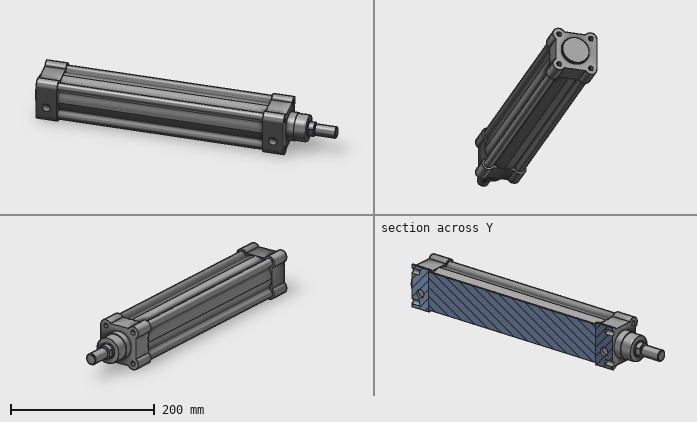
import cadquery as cq
import math


TOTAL_LENGTH = 429.0
REAR_BOSS_LENGTH = 4.5
CAP_LENGTH = 30.0
BARREL_LENGTH = 296.0
FRONT_COLLAR_LENGTH = 11.0
FRONT_NOSE_LENGTH = 16.7
WIPER_LENGTH = 1.5

REAR_CAP_START = REAR_BOSS_LENGTH
BARREL_START = REAR_CAP_START + CAP_LENGTH
FRONT_CAP_START = BARREL_START + BARREL_LENGTH
FRONT_CAP_END = FRONT_CAP_START + CAP_LENGTH
COLLAR_END = FRONT_CAP_END + FRONT_COLLAR_LENGTH
NOSE_END = COLLAR_END + FRONT_NOSE_LENGTH
WIPER_END = NOSE_END + WIPER_LENGTH

CAP_SIZE = 64.5
SCREW_OFFSET = 23.0
LOBE_RADIUS = CAP_SIZE / 2 - SCREW_OFFSET
CAP_RECESS = 4.5
SCREW_DIAMETER = 7.0
SCREW_DEPTH = 13.0

PORT_DIAMETER = 12.0
PORT_DEPTH = 13.0
PORT_Z = -8.0

BOSS_DIAMETER = 40.0
REAR_TAPER_LENGTH = 1.7
REAR_TAPER_DEPTH = 1.0
NOSE_DIAMETER = 38.0
NOSE_TAPER_LENGTH = 2.5
NOSE_TAPER_DEPTH = 0.5
WIPER_BASE_DIAMETER = 23.0

BARREL_RADIUS = 27.5
BARREL_LOBE_RADIUS = 6.0
LOBE_BLEND_RADIUS = 2.0
RIDGE_HALF_WIDTH = 5.5

ROD_DIAMETER = 20.0
FLAT_START_GAP = 1.0
WRENCH_FLATS = 17.5
THREAD_DIAMETER = 16.5
THREAD_LENGTH = 31.8
RELIEF_LENGTH = 1.0
THREAD_CHAMFER_LENGTH = 1.5
THREAD_CHAMFER_DEPTH = 1.5

THREAD_START = TOTAL_LENGTH - THREAD_LENGTH

CORNERS = [(y * SCREW_OFFSET, z * SCREW_OFFSET) for y in (-1, 1) for z in (-1, 1)]


def section_at(x):
    """Workplane across the axis at the given X, with local axes Y and Z."""
    return cq.Workplane("YZ", origin=(x, 0, 0))


def turned(profile):
    """Solid of revolution about the X axis below a profile of (x, radius) points."""
    outline = [(profile[0][0], 0), *profile, (profile[-1][0], 0)]
    return cq.Workplane("XY").polyline(outline).close().revolve(360, (0, 0, 0), (1, 0, 0))


def cap_block(start_x):
    """Square cap with round corner lobes, a full-width -Y face and a blind port."""
    core_size = CAP_SIZE - 2 * CAP_RECESS
    block = section_at(start_x).rect(core_size, core_size).extrude(CAP_LENGTH)
    lobes = section_at(start_x).pushPoints(CORNERS).circle(LOBE_RADIUS).extrude(CAP_LENGTH)
    port_face = (
        section_at(start_x)
        .center(-CAP_SIZE / 4, 0)
        .rect(CAP_SIZE / 2, 2 * SCREW_OFFSET)
        .extrude(CAP_LENGTH)
    )
    port = (
        cq.Workplane("XZ", origin=(start_x + CAP_LENGTH / 2, -CAP_SIZE / 2, PORT_Z))
        .circle(PORT_DIAMETER / 2)
        .extrude(-PORT_DEPTH)
    )
    return block.union(lobes).union(port_face).cut(port)


def screw_holes(face_x, direction):
    """Four blind holes that run from a cap's outer face in the given X direction."""
    return (
        section_at(face_x)
        .pushPoints(CORNERS)
        .circle(SCREW_DIAMETER / 2)
        .extrude(direction * SCREW_DEPTH)
    )


def make_rear_cap():
    boss_radius = BOSS_DIAMETER / 2
    boss = turned([
        (0, boss_radius - REAR_TAPER_DEPTH),
        (REAR_TAPER_LENGTH, boss_radius),
        (REAR_CAP_START, boss_radius),
    ])
    return cap_block(REAR_CAP_START).union(boss).cut(screw_holes(REAR_CAP_START, 1))


def make_front_cap():
    """Cap with a stepped nose that ends in a small conical wiper around the rod."""
    boss_radius = BOSS_DIAMETER / 2
    nose_radius = NOSE_DIAMETER / 2
    nose = turned([
        (FRONT_CAP_END, boss_radius),
        (COLLAR_END, boss_radius),
        (COLLAR_END, nose_radius),
        (NOSE_END - NOSE_TAPER_LENGTH, nose_radius),
        (NOSE_END, nose_radius - NOSE_TAPER_DEPTH),
        (NOSE_END, WIPER_BASE_DIAMETER / 2),
        (WIPER_END, ROD_DIAMETER / 2),
    ])
    return cap_block(FRONT_CAP_START).union(nose).cut(screw_holes(FRONT_CAP_END, -1))


def make_barrel():
    """Round barrel with a shallow ridge on each side and a webbed lobe at each corner."""
    barrel = section_at(BARREL_START).circle(BARREL_RADIUS).extrude(BARREL_LENGTH)

    lobe_distance = SCREW_OFFSET * math.sqrt(2)
    for angle in (45, 135):
        web = (
            section_at(BARREL_START)
            .transformed(rotate=(0, 0, angle))
            .slot2D(2 * (lobe_distance + BARREL_LOBE_RADIUS), 2 * BARREL_LOBE_RADIUS)
            .extrude(BARREL_LENGTH)
        )
        barrel = barrel.union(web)

    web_along = math.sqrt(BARREL_RADIUS**2 - BARREL_LOBE_RADIUS**2)
    near = (web_along - BARREL_LOBE_RADIUS) / math.sqrt(2)
    far = (web_along + BARREL_LOBE_RADIUS) / math.sqrt(2)
    mid_x = BARREL_START + BARREL_LENGTH / 2
    for y_sign in (-1, 1):
        for z_sign in (-1, 1):
            for y, z in ((near, far), (far, near)):
                corner = cq.selectors.NearestToPointSelector((mid_x, y_sign * y, z_sign * z))
                barrel = barrel.edges("|X").edges(corner).fillet(LOBE_BLEND_RADIUS)

    foot = math.sqrt(BARREL_RADIUS**2 - RIDGE_HALF_WIDTH**2)
    peak = BARREL_RADIUS**2 / foot
    for angle in (0, 90, 180, 270):
        ridge = (
            section_at(BARREL_START)
            .transformed(rotate=(0, 0, angle))
            .polyline([(0, 0), (foot, -RIDGE_HALF_WIDTH), (peak, 0), (foot, RIDGE_HALF_WIDTH)])
            .close()
            .extrude(BARREL_LENGTH)
        )
        barrel = barrel.union(ridge)
    return barrel


def make_rod():
    """Rod stub that starts on the wiper, with two wrench flats, a relief and a threaded end."""
    rod_radius = ROD_DIAMETER / 2
    thread_radius = THREAD_DIAMETER / 2
    relief_radius = thread_radius - THREAD_CHAMFER_DEPTH
    relief_end = THREAD_START + RELIEF_LENGTH
    rod = turned([
        (WIPER_END, rod_radius),
        (THREAD_START, rod_radius),
        (THREAD_START, relief_radius),
        (relief_end, relief_radius),
        (relief_end + THREAD_CHAMFER_LENGTH, thread_radius),
        (TOTAL_LENGTH - THREAD_CHAMFER_LENGTH, thread_radius),
        (TOTAL_LENGTH, relief_radius),
    ])
    flat_start = WIPER_END + FLAT_START_GAP
    for side in (-1, 1):
        waste = (
            section_at(flat_start)
            .center(side * (WRENCH_FLATS + ROD_DIAMETER) / 2, 0)
            .rect(ROD_DIAMETER, ROD_DIAMETER)
            .extrude(THREAD_START - flat_start)
        )
        rod = rod.cut(waste)
    return rod


rear_cap = make_rear_cap()
barrel = make_barrel()
front_cap = make_front_cap()
rod = make_rod()

result = cq.Compound.makeCompound([rear_cap.val(), barrel.val(), front_cap.val(), rod.val()])